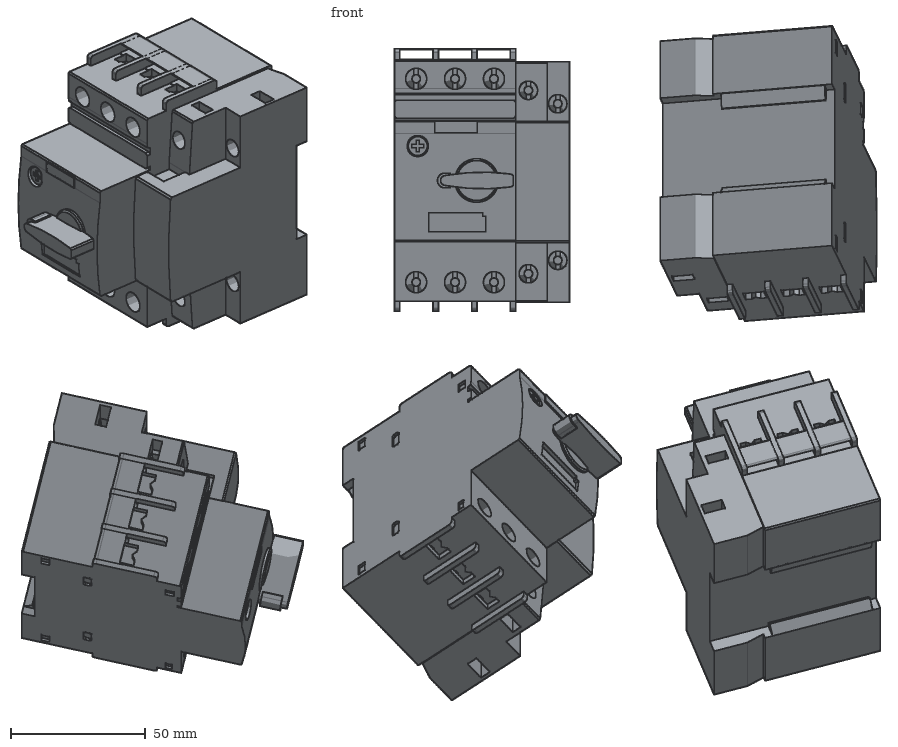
import cadquery as cq


HEIGHT = 97.4
WIDTH = 65.0
DEPTH = 96.9
BODY_WIDTH = 45.0

BODY_BOTTOM = 3.7
BODY_TOP = 93.3
SHOULDER_DEPTH = 60.8
RECESS_DEPTH = 59.3
BOX_BOTTOM = 25.7
BOX_TOP = 70.9
BOX_EDGE_DEPTH = 83.8
BOX_CROWN_DEPTH = 85.2
CROWN_TOP = 66.0
EDGE_BREAK = 0.6

STRIP_BOTTOM = 71.6
STRIP_TOP = 78.3
STRIP_CHAMFER = 0.8
RECESS_TOP = 80.3
LIP_TOP = 82.7
LIP_DEPTH = 60.6

NOTCH_BOTTOM = 29.1
NOTCH_TOP = 69.35
NOTCH_DEPTH = 5.0
HOOK_INSET = 2.9
CATCH_BACK, CATCH_FRONT = 0.5, 3.7
CATCH_TIP_BACK, CATCH_TIP_FRONT = 1.85, 2.5
CATCH_TIP, CATCH_CORNER = 64.0, 65.5
HOOK_TIP_DEPTH, HOOK_TIP = 3.3, 32.3
HOOK_CORNER_DEPTH, HOOK_CORNER = 3.8, 31.1

RIB_COUNT = 4
RIB_WIDTH = 2.0
RIB_BACK = 26.9
RIB_FRONT = 51.5
RIB_ROUNDING = 1.4
SHELF_FRONT = 36.8
SHELF_THICKNESS = 0.4
SILL_FRONT = 37.6
SILL_HEIGHT = 0.2
SILL_CHAMFER = 0.8

POLE_PITCH = 14.4
POLE_CENTRE = BODY_WIDTH / 2
MID_HEIGHT = (BODY_BOTTOM + BODY_TOP) / 2
POLE_SCREW_OFFSET = 37.7
POLE_HOLE_RADIUS = 3.9
POLE_HEAD_RIM = 36.2
HEAD_RISE = 1.6
SLOT_WIDTH = 1.7
DRIVE_HOLE_SINK = 0.5
DRIVE_HOLE_RADIUS = 1.6
WIRE_BACK = 36.0
WIRE_FRONT = 41.6
WIRE_WIDTH = 8.0
WIRE_POCKET_DEPTH = 2.9
TOOTH_HALF_WIDTH = 1.8
TOOTH_HEIGHT = 1.4

AUX_BOTTOM = 3.3
AUX_TOP = 92.5
AUX_MID = (AUX_BOTTOM + AUX_TOP) / 2
AUX_BOX_BOTTOM = 25.5
AUX_BOX_TOP = 70.5
AUX_BOX_CHAMFER = 0.7
AUX_BOX_EDGE_DEPTH = 66.4
AUX_BOX_CROWN_DEPTH = 67.3
AUX_STEP_X = 56.6
AUX_INNER_EDGE_DEPTH = 48.6
AUX_INNER_BASE_DEPTH = 50.1
AUX_OUTER_DEPTH = 32.4
AUX_BACK_TAPER_X = 51.9
AUX_BACK_TAPER = 1.9
AUX_HOLE_RADIUS = 3.4
AUX_INNER_SCREW = (49.7, 34.0, 37.0)
AUX_OUTER_SCREW = (60.6, 29.0, 14.9)
AUX_INNER_WINDOW = (47.0, 54.7, 37.0, 40.7)
AUX_OUTER_WINDOW = (55.6, 63.6, 14.9, 19.1)
AUX_POCKET_RIGHT = 54.2
AUX_POCKET_FRONT = 60.6
AUX_POCKET_DEPTH = 2.9

SIDE_RECESS_DEPTH = 1.0
SIDE_WINDOWS = [
    (7.4, 10.5, 85.3, 90.7),
    (7.4, 10.5, 5.9, 11.2),
    (54.7, 58.0, 81.3, 85.8),
    (54.7, 57.2, 5.6, 10.1),
]
SIDE_SLOTS = [
    (23.5, 26.6, 73.05, 80.6),
    (23.5, 26.6, 16.4, 24.0),
]
SIDE_SLOT_CHAMFER = 0.8

ADJUSTER_X = 8.7
ADJUSTER_Z = 61.3
ADJUSTER_RADIUS = 3.9
ADJUSTER_FLOOR = 82.6
ADJUSTER_HEAD_RADIUS = 3.5
ADJUSTER_HEAD_DEPTH = 83.6
CROSS_LENGTH = 4.3
CROSS_WIDTH = 1.2
PLATE_LEFT, PLATE_RIGHT = 15.0, 30.7
PLATE_BOTTOM, PLATE_TOP = 66.1, 70.4
PLATE_DEPTH = 84.25
LABEL_LEFT, LABEL_RIGHT = 12.7, 33.9
LABEL_BOTTOM, LABEL_TOP = 29.4, 36.6
LABEL_FLOOR = 83.4
LABEL_STEP_X, LABEL_STEP_Z = 1.2, 1.5

KNOB_X, KNOB_Z = 30.5, 48.5
KNOB_RADIUS = 8.1
KNOB_TOP_RADIUS = 7.4
KNOB_RIM_DEPTH = 85.9
KNOB_SHOULDER_DEPTH = 86.5
KNOB_CROWN_DEPTH = 87.4
BLADE_LEFT, BLADE_RIGHT = 17.1, 44.0
BLADE_HALF_HEIGHT = 3.0
BLADE_LEFT_HALF = 1.85
BLADE_RIGHT_HALF = 2.3
BLADE_CHAMFER = 0.6
LOCK_X = 18.7
LOCK_RADIUS = 2.7
LOCK_RIGHT = 20.65
LOCK_BACK, LOCK_FRONT = 87.0, 94.6


def block(x0, x1, depth0, depth1, z0, z1):
    """Box between two x values, two depths and two heights."""
    size = cq.Workplane("XY").box(x1 - x0, depth1 - depth0, z1 - z0, centered=False)
    return size.translate((x0, -depth1, z0))


def side_profile(x):
    """Workplane at x whose local axes are (y, z)."""
    return cq.Workplane("YZ", origin=(x, 0, 0))


def front_profile(depth):
    """Workplane at a depth whose local axes are (x, z), extruding towards the front."""
    return cq.Workplane("XZ", origin=(0, -depth, 0))


def flip(shape, mid):
    """Mirror a shape top to bottom about the height mid."""
    return shape.mirror("XY", (0, 0, mid))


def main_body():
    crown_mid = (CROWN_TOP + BOX_BOTTOM) / 2
    outline = (
        side_profile(0)
        .moveTo(0, BODY_BOTTOM)
        .lineTo(0, BODY_TOP - EDGE_BREAK)
        .lineTo(-EDGE_BREAK, BODY_TOP)
        .lineTo(-SHOULDER_DEPTH + EDGE_BREAK, BODY_TOP)
        .lineTo(-SHOULDER_DEPTH, BODY_TOP - EDGE_BREAK)
        .lineTo(-SHOULDER_DEPTH, LIP_TOP)
        .lineTo(-LIP_DEPTH, RECESS_TOP + EDGE_BREAK)
        .lineTo(-RECESS_DEPTH, RECESS_TOP)
        .lineTo(-RECESS_DEPTH, BOX_TOP)
        .lineTo(-BOX_EDGE_DEPTH + EDGE_BREAK, BOX_TOP)
        .lineTo(-BOX_EDGE_DEPTH, BOX_TOP - EDGE_BREAK)
        .lineTo(-BOX_EDGE_DEPTH, CROWN_TOP)
        .threePointArc((-BOX_CROWN_DEPTH, crown_mid), (-BOX_EDGE_DEPTH, BOX_BOTTOM + EDGE_BREAK))
        .lineTo(-BOX_EDGE_DEPTH + EDGE_BREAK, BOX_BOTTOM)
        .lineTo(-SHOULDER_DEPTH, BOX_BOTTOM)
        .lineTo(-SHOULDER_DEPTH, BODY_BOTTOM)
        .close()
    )
    strip = block(0, BODY_WIDTH, RECESS_DEPTH, SHOULDER_DEPTH, STRIP_BOTTOM, STRIP_TOP)
    strip = strip.edges("|Y").chamfer(STRIP_CHAMFER)
    return outline.extrude(BODY_WIDTH).union(strip)


def rail_hooks():
    """Fixed lower hook and upper catch, set in from the sides of the rail notch."""
    upper = [
        (-CATCH_BACK, NOTCH_TOP),
        (-CATCH_TIP_BACK, CATCH_TIP),
        (-CATCH_TIP_FRONT, CATCH_TIP),
        (-CATCH_FRONT, CATCH_CORNER),
        (-CATCH_FRONT, NOTCH_TOP),
    ]
    lower = [
        (0, NOTCH_BOTTOM),
        (-HOOK_TIP_DEPTH, HOOK_TIP),
        (-HOOK_CORNER_DEPTH, HOOK_CORNER),
        (-NOTCH_DEPTH, HOOK_CORNER),
        (-NOTCH_DEPTH, NOTCH_BOTTOM),
    ]
    length = BODY_WIDTH - 2 * HOOK_INSET
    hooks = side_profile(HOOK_INSET).polyline(upper).close().extrude(length)
    return hooks.union(side_profile(HOOK_INSET).polyline(lower).close().extrude(length))


def ribs():
    """Full-height ribs joined by the top shelf, with a low sill below it in every gap."""
    pitch = (BODY_WIDTH - RIB_WIDTH) / (RIB_COUNT - 1)
    rib_set = block(0, BODY_WIDTH, RIB_BACK, SHELF_FRONT, HEIGHT - SHELF_THICKNESS, HEIGHT)
    for index in range(RIB_COUNT):
        left = index * pitch
        rib = block(left, left + RIB_WIDTH, RIB_BACK, RIB_FRONT, 0, HEIGHT)
        rib_set = rib_set.union(rib)
    corner_trim = (
        side_profile(0)
        .rect(RIB_FRONT - RIB_BACK, HEIGHT)
        .extrude(BODY_WIDTH)
        .edges("|X")
        .fillet(RIB_ROUNDING)
        .translate((0, -(RIB_BACK + RIB_FRONT) / 2, HEIGHT / 2))
    )
    rib_set = rib_set.intersect(corner_trim)
    for index in range(RIB_COUNT - 1):
        left = index * pitch + RIB_WIDTH
        right = left + pitch - RIB_WIDTH
        sill = block(left, right, RIB_BACK, SILL_FRONT, BODY_TOP, BODY_TOP + SILL_HEIGHT)
        rib_set = rib_set.union(sill.edges("|Z and <Y").chamfer(SILL_CHAMFER))
    return rib_set


def add_screw(part, x, z, radius, rim, face_depth):
    """Bore a screw hole from the front face and leave a slotted conical head at its bottom."""
    bore_length = face_depth - rim
    bottom = front_profile(rim).center(x, z)
    cone = cq.Solid.makeCone(radius, 0, HEAD_RISE, cq.Vector(x, -rim, z), cq.Vector(0, -1, 0))
    slot = bottom.rect(SLOT_WIDTH, 2 * radius).extrude(HEAD_RISE)
    head = cq.Workplane(cone).cut(slot)
    drive_hole = front_profile(rim - DRIVE_HOLE_SINK).center(x, z).circle(DRIVE_HOLE_RADIUS)
    part = part.cut(bottom.circle(radius).extrude(bore_length)).union(head)
    return part.cut(drive_hole.extrude(DRIVE_HOLE_SINK + HEAD_RISE))


def wire_pocket(x):
    """Wire entry in the top of the body, with a tooth on its front edge."""
    half = WIRE_WIDTH / 2
    return (
        cq.Workplane("XY", origin=(x, 0, BODY_TOP - WIRE_POCKET_DEPTH))
        .moveTo(-half, -WIRE_BACK)
        .lineTo(half, -WIRE_BACK)
        .lineTo(half, -WIRE_FRONT)
        .lineTo(TOOTH_HALF_WIDTH, -WIRE_FRONT)
        .lineTo(0, -WIRE_FRONT + TOOTH_HEIGHT)
        .lineTo(-TOOTH_HALF_WIDTH, -WIRE_FRONT)
        .lineTo(-half, -WIRE_FRONT)
        .close()
        .extrude(WIRE_POCKET_DEPTH + SILL_HEIGHT)
    )


def add_pole_terminals(part):
    for index in (-1, 0, 1):
        x = POLE_CENTRE + index * POLE_PITCH
        pocket = wire_pocket(x)
        part = part.cut(pocket).cut(flip(pocket, MID_HEIGHT))
        for side in (-1, 1):
            z = MID_HEIGHT + side * POLE_SCREW_OFFSET
            part = add_screw(part, x, z, POLE_HOLE_RADIUS, POLE_HEAD_RIM, SHOULDER_DEPTH)
    return part


def aux_block():
    box_mid = (AUX_BOX_BOTTOM + AUX_BOX_TOP) / 2
    chamfer = AUX_BOX_CHAMFER
    box = (
        side_profile(BODY_WIDTH)
        .moveTo(0, AUX_BOX_BOTTOM)
        .lineTo(0, AUX_BOX_TOP)
        .lineTo(-AUX_BOX_EDGE_DEPTH + chamfer, AUX_BOX_TOP)
        .lineTo(-AUX_BOX_EDGE_DEPTH, AUX_BOX_TOP - chamfer)
        .threePointArc((-AUX_BOX_CROWN_DEPTH, box_mid), (-AUX_BOX_EDGE_DEPTH, AUX_BOX_BOTTOM + chamfer))
        .lineTo(-AUX_BOX_EDGE_DEPTH + chamfer, AUX_BOX_BOTTOM)
        .close()
        .extrude(WIDTH - BODY_WIDTH)
    )
    inner = (
        side_profile(BODY_WIDTH)
        .moveTo(0, AUX_MID)
        .lineTo(0, AUX_TOP)
        .lineTo(-AUX_INNER_EDGE_DEPTH + EDGE_BREAK, AUX_TOP)
        .lineTo(-AUX_INNER_EDGE_DEPTH, AUX_TOP - EDGE_BREAK)
        .lineTo(-AUX_INNER_BASE_DEPTH, AUX_BOX_TOP)
        .lineTo(-AUX_INNER_BASE_DEPTH, AUX_MID)
        .close()
        .extrude(AUX_STEP_X - BODY_WIDTH)
    )
    outer = block(AUX_STEP_X, WIDTH, 0, AUX_OUTER_DEPTH, AUX_BOTTOM, AUX_TOP)
    pocket = block(
        BODY_WIDTH, AUX_POCKET_RIGHT, AUX_INNER_BASE_DEPTH, AUX_POCKET_FRONT,
        AUX_BOX_TOP - AUX_POCKET_DEPTH, AUX_BOX_TOP,
    )
    back_taper = (
        cq.Workplane("XY")
        .polyline([(BODY_WIDTH, 0), (AUX_BACK_TAPER_X, 0), (BODY_WIDTH, -AUX_BACK_TAPER)])
        .close()
        .extrude(HEIGHT)
    )
    return box.union(inner).union(flip(inner, AUX_MID)).union(outer).cut(pocket).cut(back_taper)


def add_aux_terminal(part, screw, window, face_depth):
    """Screw and wire window at the top of the auxiliary block, repeated at the bottom."""
    x, offset, rim = screw
    left, right, back, front = window
    opening = block(left, right, back, front, AUX_MID + offset, AUX_TOP)
    part = part.cut(opening).cut(flip(opening, AUX_MID))
    for side in (-1, 1):
        part = add_screw(part, x, AUX_MID + side * offset, AUX_HOLE_RADIUS, rim, face_depth)
    return part


def side_recesses():
    recesses = cq.Workplane("XY")
    for depth0, depth1, z0, z1 in SIDE_WINDOWS:
        recesses = recesses.union(block(0, SIDE_RECESS_DEPTH, depth0, depth1, z0, z1))
    for depth0, depth1, z0, z1 in SIDE_SLOTS:
        slot = block(0, SIDE_RECESS_DEPTH, depth0, depth1, z0, z1)
        recesses = recesses.union(slot.edges("|X").chamfer(SIDE_SLOT_CHAMFER))
    return recesses


def add_adjuster(part):
    """Round recess holding a cross-slotted setting screw."""
    bore = front_profile(ADJUSTER_FLOOR).center(ADJUSTER_X, ADJUSTER_Z)
    part = part.cut(bore.circle(ADJUSTER_RADIUS).extrude(BOX_CROWN_DEPTH - ADJUSTER_FLOOR))
    height = ADJUSTER_HEAD_DEPTH - ADJUSTER_FLOOR
    head = bore.circle(ADJUSTER_HEAD_RADIUS).extrude(height)
    head = head.cut(bore.rect(CROSS_LENGTH, CROSS_WIDTH).extrude(height))
    head = head.cut(bore.rect(CROSS_WIDTH, CROSS_LENGTH).extrude(height))
    return part.union(head)


def label_recess():
    recess = block(LABEL_LEFT, LABEL_RIGHT, LABEL_FLOOR, BOX_CROWN_DEPTH, LABEL_BOTTOM, LABEL_TOP)
    step = block(
        LABEL_RIGHT - LABEL_STEP_X, LABEL_RIGHT, LABEL_FLOOR, BOX_CROWN_DEPTH,
        LABEL_TOP - LABEL_STEP_Z, LABEL_TOP,
    )
    return recess.cut(step)


def handle():
    knob_base = BOX_EDGE_DEPTH
    knob = (
        cq.Workplane("XY", origin=(KNOB_X, 0, KNOB_Z))
        .moveTo(0, -knob_base)
        .lineTo(KNOB_RADIUS, -knob_base)
        .lineTo(KNOB_RADIUS, -KNOB_RIM_DEPTH)
        .lineTo(KNOB_TOP_RADIUS, -KNOB_SHOULDER_DEPTH)
        .lineTo(0, -KNOB_CROWN_DEPTH)
        .close()
        .revolve(360, (0, 0, 0), (0, 1, 0))
    )
    nose_x = BLADE_LEFT + BLADE_LEFT_HALF
    tip_x = BLADE_RIGHT - BLADE_CHAMFER
    tip_half = BLADE_RIGHT_HALF - BLADE_CHAMFER
    blade = (
        front_profile(KNOB_RIM_DEPTH)
        .moveTo(nose_x, KNOB_Z + BLADE_LEFT_HALF)
        .threePointArc((KNOB_X, KNOB_Z + BLADE_HALF_HEIGHT), (tip_x, KNOB_Z + BLADE_RIGHT_HALF))
        .lineTo(BLADE_RIGHT, KNOB_Z + tip_half)
        .lineTo(BLADE_RIGHT, KNOB_Z - tip_half)
        .lineTo(tip_x, KNOB_Z - BLADE_RIGHT_HALF)
        .threePointArc((KNOB_X, KNOB_Z - BLADE_HALF_HEIGHT), (nose_x, KNOB_Z - BLADE_LEFT_HALF))
        .threePointArc((BLADE_LEFT, KNOB_Z), (nose_x, KNOB_Z + BLADE_LEFT_HALF))
        .close()
        .extrude(DEPTH - KNOB_RIM_DEPTH)
    )
    lock = front_profile(LOCK_BACK).center(LOCK_X, KNOB_Z).circle(LOCK_RADIUS)
    lock = lock.extrude(LOCK_FRONT - LOCK_BACK)
    lock_root = block(
        LOCK_X, LOCK_RIGHT, LOCK_BACK, LOCK_FRONT, KNOB_Z - LOCK_RADIUS, KNOB_Z + LOCK_RADIUS
    )
    return knob.union(blade).union(lock).union(lock_root)


part = main_body().union(ribs()).union(aux_block())
part = part.cut(block(0, WIDTH, 0, NOTCH_DEPTH, NOTCH_BOTTOM, NOTCH_TOP))
part = part.union(rail_hooks())

part = add_pole_terminals(part)
part = add_aux_terminal(part, AUX_INNER_SCREW, AUX_INNER_WINDOW, AUX_INNER_BASE_DEPTH)
part = add_aux_terminal(part, AUX_OUTER_SCREW, AUX_OUTER_WINDOW, AUX_OUTER_DEPTH)

part = part.cut(side_recesses())
part = add_adjuster(part)
part = part.union(block(PLATE_LEFT, PLATE_RIGHT, SHOULDER_DEPTH, PLATE_DEPTH, PLATE_BOTTOM, PLATE_TOP))
part = part.cut(label_recess())
result = part.union(handle())